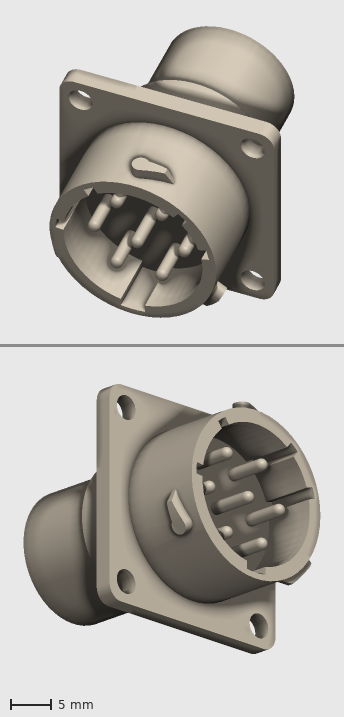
import cadquery as cq
import math

TOTAL_LENGTH = 32.45

FLANGE_SIDE = 28.6
FLANGE_THICKNESS = 2.3
FLANGE_CORNER_RADIUS = 2.0
FLANGE_FRONT_Y = 11.25
MOUNT_HOLE_SPACING = 22.9
MOUNT_HOLE_DIAMETER = 3.2

SHELL_DIAMETER = 22.2
COLLAR_DIAMETER = 19.73
COLLAR_LENGTH = 7.65
COLLAR_CHAMFER = 0.5
REAR_DIAMETER = 17.1

CAVITY_DIAMETER = 18.53
CAVITY_DEPTH = 7.25
KEYWAY_RADIUS = 10.32
MAIN_KEY_WIDTH = 3.2
SMALL_KEY_WIDTH = 1.5
MAIN_KEY_ANGLE = -90.0
SMALL_KEY_OFFSETS = (105.0, 140.0, 215.0, 265.0)

PIN_DIAMETER = 1.62
PIN_CIRCLE_RADIUS = 6.0
PIN_RING_COUNT = 6
RING_PIN_TIP_Y = 1.35
CENTRE_PIN_TIP_Y = 0.68

LUG_COUNT = 3
LUG_STUD_RADIUS = 1.1
LUG_Y = 2.6
LUG_TOP_RADIUS = 12.53
LUG_TAIL_HEIGHT = 0.8
LUG_TAIL_TAPER = 18.7
LUG_END_DISTANCE = 8.85
LUG_END_ANGLE = 30.0

flange_rear_y = FLANGE_FRONT_Y + FLANGE_THICKNESS
collar_rear_y = flange_rear_y + COLLAR_LENGTH


def plane_at(y):
    """Sketch plane across the connector axis, facing -Y, so negative extrusions run toward +Y."""
    return cq.Workplane("XZ", origin=(0, y, 0))


def disc(diameter, y_start, y_end):
    """Cylinder on the connector axis between two Y positions."""
    return plane_at(y_start).circle(diameter / 2).extrude(y_start - y_end)


def make_flange():
    flange = plane_at(FLANGE_FRONT_Y).rect(FLANGE_SIDE, FLANGE_SIDE).extrude(-FLANGE_THICKNESS)
    flange = flange.edges("|Y").fillet(FLANGE_CORNER_RADIUS)
    holes = (
        plane_at(FLANGE_FRONT_Y)
        .rect(MOUNT_HOLE_SPACING, MOUNT_HOLE_SPACING, forConstruction=True)
        .vertices()
        .circle(MOUNT_HOLE_DIAMETER / 2)
        .extrude(-FLANGE_THICKNESS)
    )
    return flange.cut(holes)


def make_body():
    shell = disc(SHELL_DIAMETER, 0, FLANGE_FRONT_Y)
    collar = disc(COLLAR_DIAMETER, flange_rear_y, collar_rear_y).faces(">Y").chamfer(COLLAR_CHAMFER)
    rear = disc(REAR_DIAMETER, collar_rear_y, TOTAL_LENGTH)
    return shell.union(make_flange()).union(collar).union(rear)


def make_keyway(width, angle):
    """Bar from the axis out to the keyway radius, pointing at an angle measured from +X toward +Z."""
    bar = plane_at(0).center(KEYWAY_RADIUS / 2, 0).rect(KEYWAY_RADIUS, width).extrude(-CAVITY_DEPTH)
    return bar.rotate((0, 0, 0), (0, 1, 0), -angle)


def make_cavity():
    keyways = make_keyway(MAIN_KEY_WIDTH, MAIN_KEY_ANGLE)
    for offset in SMALL_KEY_OFFSETS:
        keyways = keyways.union(make_keyway(SMALL_KEY_WIDTH, MAIN_KEY_ANGLE + offset))
    keyways = keyways.intersect(disc(2 * KEYWAY_RADIUS, 0, CAVITY_DEPTH))
    return disc(CAVITY_DIAMETER, 0, CAVITY_DEPTH).union(keyways)


def make_pin(x, z, tip_y):
    """Round pin standing on the cavity floor, with a ball-shaped tip."""
    radius = PIN_DIAMETER / 2
    ball_y = tip_y + radius
    shank = disc(PIN_DIAMETER, ball_y, CAVITY_DEPTH)
    tip = cq.Workplane("XY", origin=(0, ball_y, 0)).sphere(radius)
    return shank.union(tip).translate((x, 0, z))


def make_lug():
    """Bayonet lug at the top (+Z) of the shell, its tail pointing toward +X."""
    taper = math.radians(LUG_TAIL_TAPER)
    tangent_x = LUG_STUD_RADIUS * math.sin(taper)
    tangent_y = -LUG_STUD_RADIUS * math.cos(taper)
    tail_length = SHELL_DIAMETER / 4
    tail_end_y = tangent_y + (tail_length - tangent_x) * math.tan(taper)
    base_z = (CAVITY_DIAMETER + SHELL_DIAMETER) / 4
    sketch = cq.Workplane("XY", origin=(0, LUG_Y, base_z))
    height = LUG_TOP_RADIUS - base_z
    stud = sketch.circle(LUG_STUD_RADIUS).extrude(height)
    tail = (
        sketch.moveTo(0, 0)
        .lineTo(tangent_x, tangent_y)
        .lineTo(tail_length, tail_end_y)
        .lineTo(tail_length, LUG_TAIL_HEIGHT)
        .lineTo(0, LUG_TAIL_HEIGHT)
        .close()
        .extrude(height)
    )
    envelope = disc(2 * LUG_TOP_RADIUS, 0, FLANGE_FRONT_Y)
    end_stock = (
        cq.Workplane("XY")
        .box(LUG_TOP_RADIUS, FLANGE_FRONT_Y, 2 * LUG_TOP_RADIUS, centered=(False, False, True))
        .translate((LUG_END_DISTANCE, 0, 0))
        .rotate((0, 0, 0), (0, 1, 0), -LUG_END_ANGLE)
    )
    return stud.union(tail).intersect(envelope).cut(end_stock)


result = make_body().cut(make_cavity())

result = result.union(make_pin(0, 0, CENTRE_PIN_TIP_Y))
for index in range(PIN_RING_COUNT):
    angle = 2 * math.pi * index / PIN_RING_COUNT
    pin_x = PIN_CIRCLE_RADIUS * math.cos(angle)
    pin_z = PIN_CIRCLE_RADIUS * math.sin(angle)
    result = result.union(make_pin(pin_x, pin_z, RING_PIN_TIP_Y))

lug = make_lug()
for index in range(LUG_COUNT):
    result = result.union(lug.rotate((0, 0, 0), (0, 1, 0), 360 / LUG_COUNT * index))